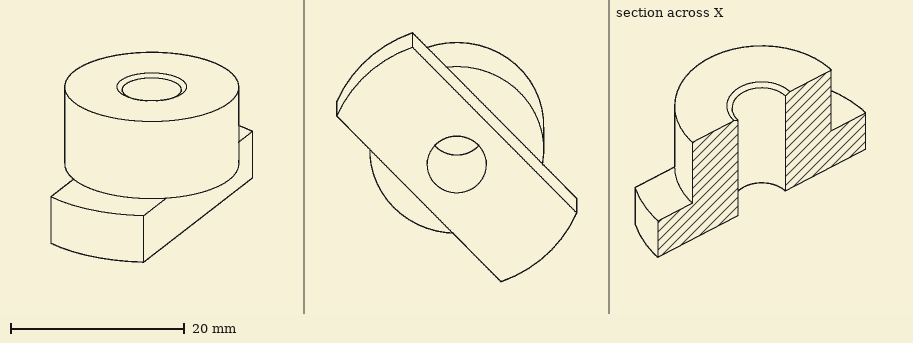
import cadquery as cq
import math

length = 29.9
bar_width = 12.0
bar_height = 5.83
total_height = 15.5
boss_diameter = 20.0
bore_diameter = 6.8
countersink_diameter = 8.0
countersink_angle = 120.0

countersink_depth = (
    (countersink_diameter - bore_diameter) / 2 / math.tan(math.radians(countersink_angle / 2))
)


def make_bar():
    """Flat-sided bar whose ends are arcs of one disc centred on the bore."""
    disc = cq.Workplane("XY").circle(length / 2).extrude(bar_height)
    flats = cq.Workplane("XY").rect(bar_width, length).extrude(bar_height)
    return disc.intersect(flats)


def make_boss():
    """Round boss that stands above the bar."""
    return (
        cq.Workplane("XY")
        .workplane(offset=bar_height)
        .circle(boss_diameter / 2)
        .extrude(total_height - bar_height)
    )


def make_bore():
    """Through bore with a conical countersink at the top."""
    bore_radius = bore_diameter / 2
    countersink_radius = countersink_diameter / 2
    return (
        cq.Workplane("XZ")
        .moveTo(0, 0)
        .lineTo(bore_radius, 0)
        .lineTo(bore_radius, total_height - countersink_depth)
        .lineTo(countersink_radius, total_height)
        .lineTo(0, total_height)
        .close()
        .revolve(360, (0, 0), (0, 1))
    )


result = make_bar().union(make_boss()).cut(make_bore())